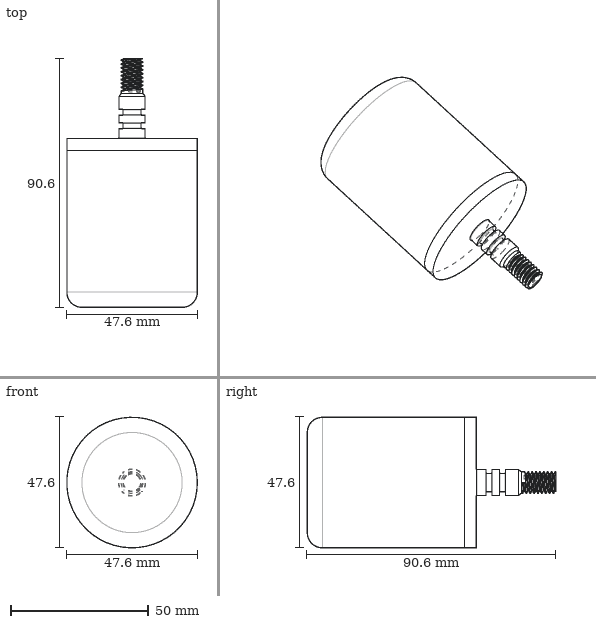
import cadquery as cq
import math


housing_diameter = 47.625
overall_length = 90.61
cap_thickness = 4.4
nose_radius = 5.55

stud_length = 29.0
shank_diameter = 9.525
groove_diameter = 6.7
groove_width = 2.1
corner_radius = 0.2
base_land_length = 3.55
middle_land_length = 2.8
shank_length = 15.3
shoulder_taper_length = 1.05

thread_diameter = 7.94
thread_pitch = 25.4 / 18
thread_root_diameter = 6.25
thread_length = 11.85
root_width = thread_pitch / 4
crest_width = thread_pitch / 8

housing_radius = housing_diameter / 2
housing_length = overall_length - stud_length - cap_thickness
stud_radius = shank_diameter / 2
thread_radius = thread_diameter / 2
thread_root_radius = thread_root_diameter / 2


def cylinder_along_y(radius, start, end):
    """Solid cylinder about the Y axis between two Y positions."""
    return cq.Workplane("XZ", origin=(0, end, 0)).circle(radius).extrude(end - start)


def build_housing():
    """Plain round body with its free end rounded over."""
    nose_y = -cap_thickness - housing_length
    body = cylinder_along_y(housing_radius, nose_y, -cap_thickness)
    return body.faces("<Y").edges().fillet(nose_radius)


def build_cap():
    """Flat disc closing the stud end of the housing."""
    return cylinder_along_y(housing_radius, -cap_thickness, 0)


def build_thread_groove():
    """Helical V-groove with a flat root, running from the shoulder out past the stud tip."""
    clearance = 0.1
    flank_run = (thread_pitch - crest_width - root_width) / 2
    flank_slope = flank_run / (thread_radius - thread_root_radius)
    half_root = root_width / 2
    half_mouth = half_root + flank_run + clearance * flank_slope
    mouth_radius = thread_radius + clearance

    path = cq.Wire.makeHelix(thread_pitch, thread_length + thread_pitch, thread_root_radius)
    groove = (
        cq.Workplane("XZ")
        .moveTo(thread_root_radius, -half_root)
        .lineTo(mouth_radius, -half_mouth)
        .lineTo(mouth_radius, half_mouth)
        .lineTo(thread_root_radius, half_root)
        .close()
        .sweep(cq.Workplane(obj=path), isFrenet=True)
    )
    groove = groove.rotate((0, 0, 0), (1, 0, 0), -90)
    return groove.translate((0, stud_length - thread_length, 0))


def build_ring_cutter(start):
    """Ring cleared away for one shank groove, its inner edges rounded to leave corner fillets."""
    end = start + groove_width
    core = cylinder_along_y(groove_diameter / 2, start, end)
    ring = cylinder_along_y(stud_radius, start, end).cut(core)
    inner_edges = cq.selectors.RadiusNthSelector(0)
    return ring.edges(inner_edges).fillet(corner_radius)


def build_stud():
    """Shank with two ring grooves and a tapered shoulder, ending in a threaded tip."""
    shoulder_end = shank_length + shoulder_taper_length
    foot_radius = stud_radius + corner_radius
    arc_inset = corner_radius * (1 - math.sqrt(0.5))
    stud = (
        cq.Workplane("XY")
        .moveTo(0, 0)
        .lineTo(foot_radius, 0)
        .threePointArc((stud_radius + arc_inset, arc_inset), (stud_radius, corner_radius))
        .lineTo(stud_radius, shank_length)
        .lineTo(thread_radius, shoulder_end)
        .lineTo(thread_radius, stud_length)
        .lineTo(0, stud_length)
        .close()
        .revolve(360, (0, 0, 0), (0, 1, 0))
    )
    groove_spacing = groove_width + middle_land_length
    for index in range(2):
        stud = stud.cut(build_ring_cutter(base_land_length + index * groove_spacing))
    return stud.cut(build_thread_groove())


housing = build_housing()
cap = build_cap()
stud = build_stud()

result = cq.Compound.makeCompound([housing.val(), cap.val(), *stud.vals()])